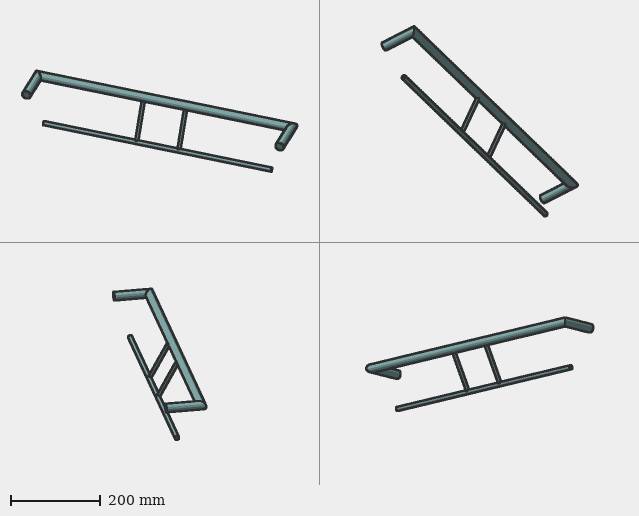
import cadquery as cq

rail_diameter = 20.0
overall_length = 620.0
overall_depth = 90.0
rail_radius = rail_diameter / 2
leg_x = overall_length / 2 - rail_radius
leg_end_y = rail_radius - overall_depth

bar_diameter = 10.0
bar_length = 540.0
overall_height = 105.0
bar_y = -49.0
bar_z = rail_radius + bar_diameter / 2 - overall_height

strut_diameter = 8.0
strut_spacing = 100.0


def make_rail():
    """Round bar swept along a U path with sharp mitred corners; the rail axis is the X axis."""
    path = (
        cq.Workplane("XY")
        .moveTo(-leg_x, leg_end_y)
        .lineTo(-leg_x, 0)
        .lineTo(leg_x, 0)
        .lineTo(leg_x, leg_end_y)
    )
    profile = cq.Workplane("XZ", origin=(-leg_x, leg_end_y, 0)).circle(rail_radius)
    return profile.sweep(path, transition="right")


def make_bar():
    """Straight round bar centred on the YZ plane."""
    start = (-bar_length / 2, bar_y, bar_z)
    return cq.Workplane("YZ", origin=start).circle(bar_diameter / 2).extrude(bar_length)


def make_strut(x):
    """Round strut from the rail axis to the bar axis at the given x."""
    direction = cq.Vector(0, bar_y, bar_z)
    plane = cq.Plane(origin=(x, 0, 0), xDir=(1, 0, 0), normal=direction.toTuple())
    return cq.Workplane(plane).circle(strut_diameter / 2).extrude(direction.Length)


result = make_rail().union(make_bar())
for side in (-1, 1):
    result = result.union(make_strut(side * strut_spacing / 2))